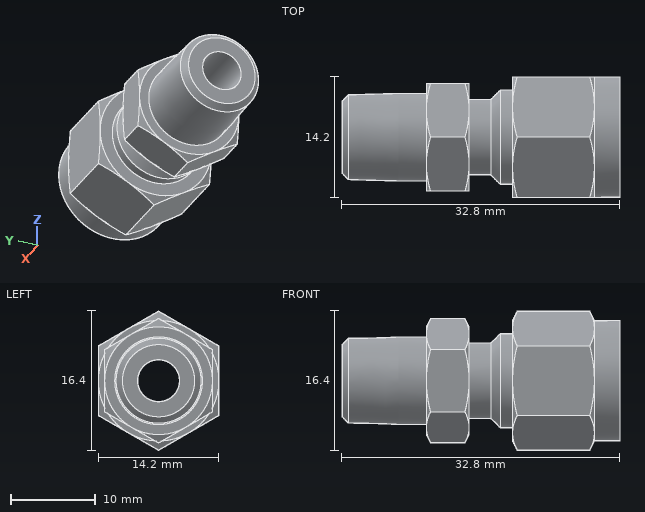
import cadquery as cq
import math

tip_chamfer_end = 0.72
taper_end = 6.65
body_hex_start = 9.93
body_hex_end = 14.98
neck_end = 17.53
collar_start = 18.65
nut_start = 20.1
nut_hex_end = 29.75
total_length = 32.77

tip_radius = 4.25
taper_small_radius = 5.0
thread_radius = 5.18
neck_radius = 4.45
collar_radius = 5.57
bore_radius = 2.45

body_hex_flats = 12.7
nut_hex_flats = 14.22
nut_rim_radius = nut_hex_flats / 2
hex_chamfer_slope = 0.5


def revolve_profile(points):
    """Revolve an (x, radius) outline around the X axis."""
    return cq.Workplane("XY").polyline(points).close().revolve(360, (0, 0, 0), (1, 0, 0))


def chamfered_hex(start, end, flats):
    """Hexagonal prism along X with conical chamfers cutting its corners at both ends."""
    flat_radius = flats / 2
    corner_radius = flat_radius / math.cos(math.pi / 6)
    chamfer_length = (corner_radius - flat_radius) * hex_chamfer_slope
    prism = (
        cq.Workplane("YZ", origin=(start, 0, 0))
        .transformed(rotate=(0, 0, 90))
        .polygon(6, 2 * corner_radius)
        .extrude(end - start)
    )
    envelope = revolve_profile([
        (start, 0),
        (start, flat_radius),
        (start + chamfer_length, corner_radius),
        (end - chamfer_length, corner_radius),
        (end, flat_radius),
        (end, 0),
    ])
    return prism.intersect(envelope)


core = revolve_profile([
    (0, 0),
    (0, tip_radius),
    (tip_chamfer_end, taper_small_radius),
    (taper_end, thread_radius),
    (body_hex_end, thread_radius),
    (body_hex_end, neck_radius),
    (neck_end, neck_radius),
    (collar_start, collar_radius),
    (nut_hex_end, collar_radius),
    (nut_hex_end, nut_rim_radius),
    (total_length, nut_rim_radius),
    (total_length, 0),
])

body_hex = chamfered_hex(body_hex_start, body_hex_end, body_hex_flats)
nut_hex = chamfered_hex(nut_start, nut_hex_end, nut_hex_flats)

bore = cq.Workplane("YZ").circle(bore_radius).extrude(total_length)

result = core.union(body_hex).union(nut_hex).cut(bore)